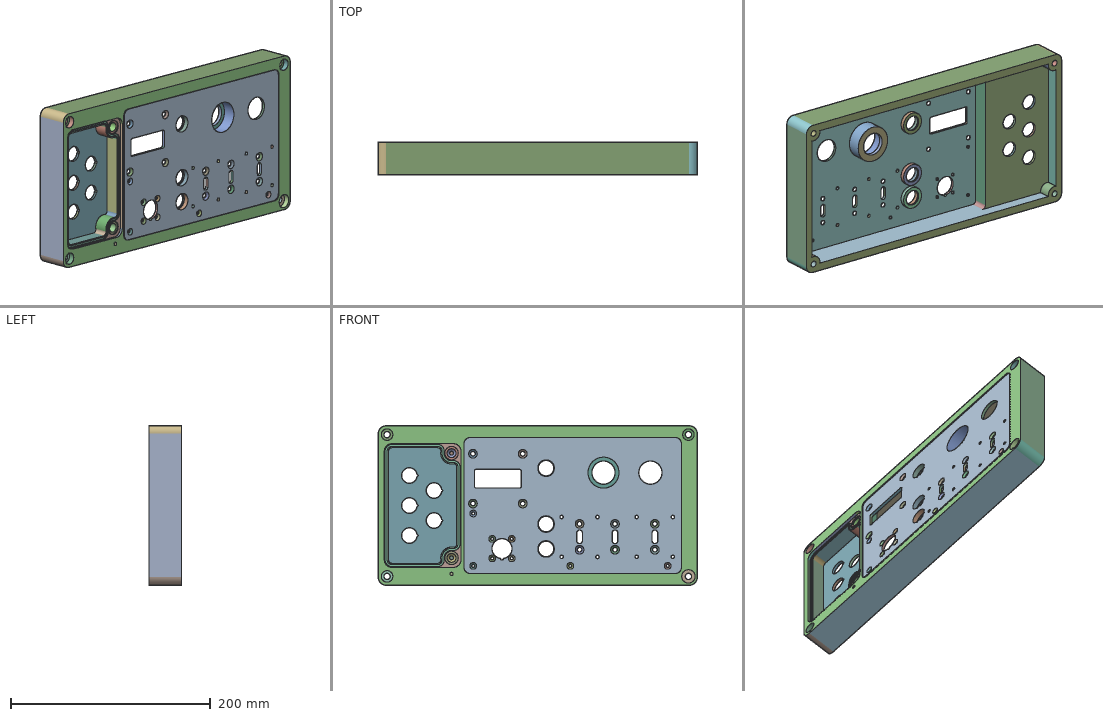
import cadquery as cq
import math

LENGTH = 320.0
DEPTH = 33.0
HEIGHT = 160.0
CORNER_RADIUS = 8.0
SIDE_WALL = 7.0
TOP_WALL = 8.0
PLATE = 3.0
CAVITY_CORNER = 3.5

MOUNT_INSET = 9.0
MOUNT_BORE = 6.0
MOUNT_HEAD = 11.5
MOUNT_HEAD_LARGE = 13.5
MOUNT_HEAD_DEPTH = 6.0
MOUNT_POST = 16.0

POCKET_LEFT = -149.8
POCKET_RIGHT = -81.3
POCKET_HALF_HEIGHT = 58.0
POCKET_DEPTH = 17.3
POCKET_CORNER = 4.0
LEDGE_WIDTH = 4.0
LEDGE_WIDTH_RIGHT = 4.5
LEDGE_DEPTH = 3.0
GROOVE_INNER = 1.3
GROOVE_OUTER = GROOVE_INNER + 2.08
GROOVE_DEPTH = 1.0
LUG_X = -86.5
LUG_Z = 52.5
LUG_RADIUS = 11.0
LUG_FILLET = 3.2
LUG_HEAD = 13.5
LUG_HEAD_DEPTH = 1.0
LUG_BORE = 9.0
LUG_BORE_DEPTH = 9.5
LUG_CONE_DEPTH = 2.5
LUG_PILOT = 4.0
LUG_PILOT_DEPTH = 2.0
JACK_BORE = 15.5
JACK_KEY = 2.0
JACK_PITCH = 30.0
JACK_LEFT_X = -128.5
JACK_RIGHT_X = -104.0
VENT_BORE = 3.2
VENT_Z = -68.5

PANEL_LEFT = -74.0
PANEL_RIGHT = 144.0
PANEL_HALF_HEIGHT = 68.0
PANEL_CORNER = 6.0
PANEL_RECESS = 1.0
PANEL_BACK = PANEL_RECESS + PLATE

WINDOW_CENTER = (-40.0, 27.0)
WINDOW_SIZE = (46.7, 18.5)
WINDOW_CORNER = 1.5
DISPLAY_SCREW_PITCH = 50.0
LARGE_SCREW = (4.5, 8.5)
SMALL_SCREW = (3.0, 6.7)
COUNTERSINK_ANGLE = 90
PANEL_SCREWS = [(-64.5, -8.0), (-64.5, -60.5), (32.5, -60.5), (130.2, -60.5)]

BUTTON_X = 8.3
BUTTON_ROWS = (37.5, -18.5, -43.5)
BUTTON_BORE = 15.5
BUTTON_HEAD = 16.5
BUTTON_HEAD_DEPTH = 5.0
BUTTON_LIP = 2.0

DIAL_Z = 33.0
DIAL_BORE = 23.0
DIAL_X = 66.0
DIAL_HEAD = 31.0
DIAL_HEAD_DEPTH = 13.5
DIAL_LIP = 4.0
LAMP_X = 113.0
BOSS_WALL = 3.0

SWITCH_COLUMNS = (42.0, 77.5, 117.5)
SWITCH_Z = -31.5
SWITCH_SCREW_PITCH = 26.0
SLOT_HEIGHT = 13.5
SLOT_WIDTH = 5.5
PIN_COLUMNS = (24.0, 60.0, 99.2, 135.5)
PIN_ROWS = (-11.5, -51.5)
PIN_BORE = 3.2

SOCKET_CENTER = (-36.0, -43.2)
SOCKET_BORE = 20.0
SOCKET_KEY = 3.0
SOCKET_SCREW_PITCH = 19.5


def plane(y):
    """Workplane parallel to the front face at depth y, local axes X and Z."""
    return cq.Workplane("XZ", origin=(0, y, 0))


def block(left, right, bottom, top, y0, y1, radius):
    """Box between two depths with rounded edges along Y."""
    box = plane(y0).center((left + right) / 2, (bottom + top) / 2).rect(right - left, top - bottom)
    return box.extrude(y0 - y1).edges("|Y").fillet(radius)


def rods(points, diameter, y0, y1):
    """Cylinders along Y at each point."""
    return plane(y0).pushPoints(points).circle(diameter / 2).extrude(y0 - y1)


def grid(center, pitch_x, pitch_z):
    """Four corner points of a rectangle."""
    x, z = center
    return [(x + i * pitch_x / 2, z + j * pitch_z / 2) for i in (-1, 1) for j in (-1, 1)]


def screws(points, size):
    """Countersunk screw holes through the panel."""
    bore, head = size
    cone_depth = (head - bore) / 2 / math.tan(math.radians(COUNTERSINK_ANGLE / 2))
    cone = (
        plane(PANEL_RECESS).pushPoints(points).circle(head / 2)
        .extrude(-cone_depth, taper=COUNTERSINK_ANGLE / 2)
    )
    return rods(points, bore, PANEL_RECESS, DEPTH).union(cone)


def pocket(margin, y0, y1):
    """Pocket outline grown by a margin; it bends around the two lugs at the right corners."""
    left = POCKET_LEFT - margin
    right = POCKET_RIGHT + margin
    top = POCKET_HALF_HEIGHT + margin
    corner = POCKET_CORNER + margin
    bend = LUG_FILLET + margin
    lug = LUG_RADIUS - margin
    reach = LUG_RADIUS + LUG_FILLET
    upper_z = POCKET_HALF_HEIGHT - LUG_FILLET
    upper_x = LUG_X - math.sqrt(reach ** 2 - (upper_z - LUG_Z) ** 2)
    side_x = POCKET_RIGHT - LUG_FILLET
    side_z = LUG_Z - math.sqrt(reach ** 2 - (side_x - LUG_X) ** 2)
    upper_angle = math.atan2(upper_z - LUG_Z, upper_x - LUG_X)
    side_angle = math.atan2(side_z - LUG_Z, side_x - LUG_X) + 2 * math.pi

    def on_lug(angle):
        return (LUG_X + lug * math.cos(angle), LUG_Z + lug * math.sin(angle))

    def on_bend(x, z, angle):
        return (x + bend * math.cos(angle), z + bend * math.sin(angle))

    upper_mid = on_bend(upper_x, upper_z, (math.pi / 2 + upper_angle - math.pi) / 2)
    side_mid = on_bend(side_x, side_z, (side_angle - math.pi) / 2)
    diagonal = corner * (1 - math.sqrt(0.5))
    half = (
        plane(y0).moveTo(left, 0).lineTo(left, top - corner)
        .threePointArc((left + diagonal, top - diagonal), (left + corner, top))
        .lineTo(upper_x, top)
        .threePointArc(upper_mid, on_lug(upper_angle))
        .threePointArc(on_lug((upper_angle + side_angle) / 2), on_lug(side_angle))
        .threePointArc(side_mid, (right, side_z))
        .lineTo(right, 0).close().extrude(y0 - y1)
    )
    return half.union(half.mirror("XY"))


mounts = grid((0, 0), LENGTH - 2 * MOUNT_INSET, HEIGHT - 2 * MOUNT_INSET)
cavity_right = LENGTH / 2 - SIDE_WALL
cavity_top = HEIGHT / 2 - TOP_WALL
body = block(-LENGTH / 2, LENGTH / 2, -HEIGHT / 2, HEIGHT / 2, 0, DEPTH, CORNER_RADIUS)
panel_cavity = block(
    PANEL_LEFT, cavity_right, -cavity_top, cavity_top, PANEL_BACK, DEPTH, CAVITY_CORNER
)
rear_cavity = block(
    -cavity_right, cavity_right, -cavity_top, cavity_top, POCKET_DEPTH + PLATE, DEPTH, CAVITY_CORNER
)
posts = rods(mounts, MOUNT_POST, 0, DEPTH)
body = body.cut(panel_cavity.union(rear_cavity).cut(posts))

large_mount = (LENGTH / 2 - MOUNT_INSET, MOUNT_INSET - HEIGHT / 2)
body = body.cut(rods(mounts, MOUNT_BORE, 0, DEPTH))
body = body.cut(rods(mounts, MOUNT_HEAD, 0, MOUNT_HEAD_DEPTH))
body = body.cut(rods([large_mount], MOUNT_HEAD_LARGE, 0, MOUNT_HEAD_DEPTH))

ledge_half = POCKET_HALF_HEIGHT + LEDGE_WIDTH
ledge = block(
    POCKET_LEFT - LEDGE_WIDTH, POCKET_RIGHT + LEDGE_WIDTH_RIGHT, -ledge_half, ledge_half,
    0, LEDGE_DEPTH, POCKET_CORNER + LEDGE_WIDTH,
)
groove_bottom = LEDGE_DEPTH + GROOVE_DEPTH
groove = pocket(GROOVE_OUTER, LEDGE_DEPTH, groove_bottom).cut(
    pocket(GROOVE_INNER, LEDGE_DEPTH, groove_bottom)
)
body = body.cut(ledge).cut(pocket(0, 0, POCKET_DEPTH)).cut(groove)

lugs = [(LUG_X, LUG_Z), (LUG_X, -LUG_Z)]
body = body.cut(rods(lugs, LUG_HEAD, LEDGE_DEPTH, LEDGE_DEPTH + LUG_HEAD_DEPTH))
lug_bottom = LEDGE_DEPTH + LUG_BORE_DEPTH
body = body.cut(rods(lugs, LUG_BORE, LEDGE_DEPTH, lug_bottom))
for x, z in lugs:
    cone = cq.Solid.makeCone(
        LUG_BORE / 2, LUG_PILOT / 2, LUG_CONE_DEPTH, cq.Vector(x, lug_bottom, z), cq.Vector(0, 1, 0)
    )
    body = body.cut(cq.Workplane(cone))
pilot_top = lug_bottom + LUG_CONE_DEPTH
body = body.cut(rods(lugs, LUG_PILOT, pilot_top, pilot_top + LUG_PILOT_DEPTH))

jacks = [(JACK_LEFT_X, i * JACK_PITCH) for i in (-1, 0, 1)]
jacks += [(JACK_RIGHT_X, i * JACK_PITCH / 2) for i in (-1, 1)]
keys = [(x + JACK_BORE / 2, z) for x, z in jacks]
body = body.cut(rods(jacks, JACK_BORE, POCKET_DEPTH, DEPTH))
body = body.cut(rods(keys, JACK_KEY, POCKET_DEPTH, DEPTH))
body = body.cut(rods([(LUG_X, VENT_Z)], VENT_BORE, 0, PANEL_BACK))

buttons = [(BUTTON_X, z) for z in BUTTON_ROWS]
dial = [(DIAL_X, DIAL_Z)]
lamp = [(LAMP_X, DIAL_Z)]
button_bottom = PANEL_RECESS + BUTTON_HEAD_DEPTH
dial_bottom = PANEL_RECESS + DIAL_HEAD_DEPTH
body = body.union(rods(buttons, BUTTON_HEAD + 2 * BOSS_WALL, PANEL_RECESS, button_bottom + BUTTON_LIP))
body = body.union(rods(dial, DIAL_HEAD + 2 * BOSS_WALL, PANEL_RECESS, dial_bottom + DIAL_LIP))
body = body.cut(block(
    PANEL_LEFT, PANEL_RIGHT, -PANEL_HALF_HEIGHT, PANEL_HALF_HEIGHT, 0, PANEL_RECESS, PANEL_CORNER
))

body = body.cut(rods(buttons, BUTTON_BORE, 0, DEPTH))
body = body.cut(rods(buttons, BUTTON_HEAD, 0, button_bottom))
body = body.cut(rods(dial + lamp, DIAL_BORE, 0, DEPTH))
body = body.cut(rods(dial, DIAL_HEAD, 0, dial_bottom))

window_x, window_z = WINDOW_CENTER
window_w, window_h = WINDOW_SIZE
body = body.cut(block(
    window_x - window_w / 2, window_x + window_w / 2,
    window_z - window_h / 2, window_z + window_h / 2, 0, DEPTH, WINDOW_CORNER,
))

slots = [(x, SWITCH_Z) for x in SWITCH_COLUMNS]
body = body.cut(plane(0).pushPoints(slots).slot2D(SLOT_HEIGHT, SLOT_WIDTH, 90).extrude(-DEPTH))
pins = [(x, z) for x in PIN_COLUMNS for z in PIN_ROWS]
body = body.cut(rods(pins, PIN_BORE, 0, DEPTH))
body = body.cut(rods([SOCKET_CENTER], SOCKET_BORE, 0, DEPTH))
socket_key = (SOCKET_CENTER[0], SOCKET_CENTER[1] - SOCKET_BORE / 2)
body = body.cut(rods([socket_key], SOCKET_KEY, 0, DEPTH))

switch_screws = [
    (x, SWITCH_Z + i * SWITCH_SCREW_PITCH / 2) for x in SWITCH_COLUMNS for i in (-1, 1)
]
display_screws = grid(WINDOW_CENTER, DISPLAY_SCREW_PITCH, DISPLAY_SCREW_PITCH)
socket_screws = grid(SOCKET_CENTER, SOCKET_SCREW_PITCH, SOCKET_SCREW_PITCH)
body = body.cut(screws(display_screws + switch_screws, LARGE_SCREW))
body = body.cut(screws(PANEL_SCREWS + socket_screws, SMALL_SCREW))

result = body